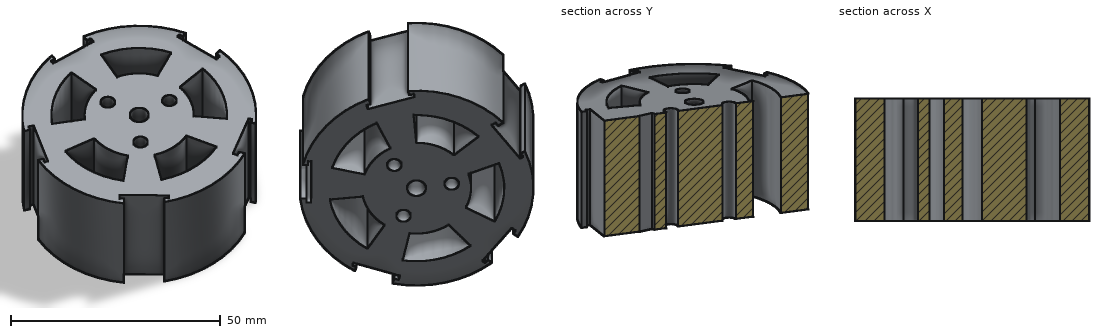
import cadquery as cq
import math

outer_radius = 27.95
height = 29.3

center_bore_diameter = 4.5
bolt_hole_diameter = 3.4
bolt_circle_radius = 8.5
bolt_hole_count = 3
first_bolt_angle = 86.9

pattern_count = 5
pattern_step = 360 / pattern_count

window_inner_radius = 13.0
window_outer_radius = 20.95
window_inner_half_angle = 21.8
window_outer_half_angle = 23.5
window_center_angle = 3.0

slot_floor_distance = 25.1
slot_floor_width = 11.75
slot_center_offset = -1.55
lip_overhang = 1.05
upper_undercut_depth = 1.2
lower_undercut_depth = 0.85
rim_clearance = 2.8


def polar(radius, angle):
    """Point at a radius and an angle in degrees from +X."""
    return (radius * math.cos(math.radians(angle)), radius * math.sin(math.radians(angle)))


def make_window():
    """Cutter for one window, around window_center_angle."""
    inner = window_inner_half_angle
    outer = window_outer_half_angle
    middle = window_center_angle
    return (
        cq.Workplane("XY")
        .moveTo(*polar(window_inner_radius, middle - inner))
        .lineTo(*polar(window_outer_radius, middle - outer))
        .threePointArc(polar(window_outer_radius, middle), polar(window_outer_radius, middle + outer))
        .lineTo(*polar(window_inner_radius, middle + inner))
        .threePointArc(polar(window_inner_radius, middle), polar(window_inner_radius, middle - inner))
        .close()
        .extrude(height)
    )


def make_slot():
    """Cutter for the rim slot that opens toward -X."""
    floor_x = -slot_floor_distance
    outside_x = -(outer_radius + rim_clearance)
    top_y = slot_center_offset + slot_floor_width / 2
    bottom_y = slot_center_offset - slot_floor_width / 2
    outline = [
        (floor_x, top_y),
        (floor_x - upper_undercut_depth, top_y),
        (floor_x - upper_undercut_depth, top_y - lip_overhang),
        (outside_x, top_y - lip_overhang),
        (outside_x, bottom_y + lip_overhang),
        (floor_x - lower_undercut_depth, bottom_y + lip_overhang),
        (floor_x - lower_undercut_depth, bottom_y),
        (floor_x, bottom_y),
    ]
    return cq.Workplane("XY").polyline(outline).close().extrude(height)


def make_bolt_holes():
    """Cutters for the holes on the bolt circle."""
    return (
        cq.Workplane("XY")
        .polarArray(bolt_circle_radius, first_bolt_angle, 360, bolt_hole_count)
        .circle(bolt_hole_diameter / 2)
        .extrude(height)
    )


result = cq.Workplane("XY").circle(outer_radius).circle(center_bore_diameter / 2).extrude(height)
result = result.cut(make_bolt_holes())

window = make_window()
slot = make_slot()
for index in range(pattern_count):
    angle = index * pattern_step
    for cutter in (window, slot):
        result = result.cut(cutter.rotate((0, 0, 0), (0, 0, 1), angle))